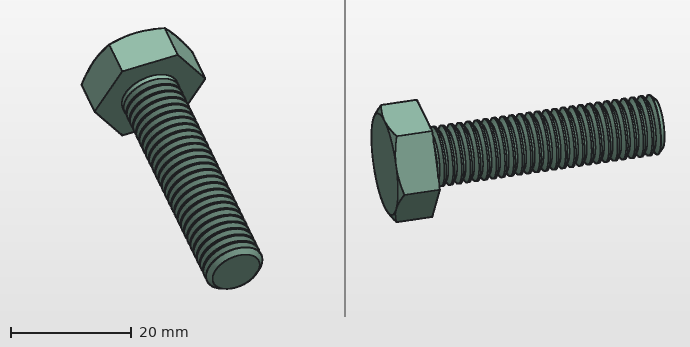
import cadquery as cq
import math

across_flats = 17.0
hexagon_sides = 6
head_height = 6.85
head_chamfer_angle = 30.0
thread_diameter = 10.0
shank_length = 40.0
groove_pitches = 27
groove_depth = 0.83
groove_width = 1.16

hexagon_half_angle = 180 / hexagon_sides
across_corners = across_flats / math.cos(math.radians(hexagon_half_angle))
thread_radius = thread_diameter / 2
pitch = shank_length / groove_pitches
root_radius = thread_radius - groove_depth
tip_chamfer = groove_depth


def make_head():
    """Hexagonal head with corners on +Y and -Y, its outer corners trimmed by a cone."""
    hexagon = cq.Workplane("YZ").polygon(hexagon_sides, across_corners).extrude(-head_height)

    flat_radius = across_flats / 2
    corner_radius = across_corners / 2
    chamfer_length = (corner_radius - flat_radius) * math.tan(math.radians(head_chamfer_angle))
    envelope = (
        cq.Workplane("XY")
        .moveTo(-head_height, 0)
        .lineTo(-head_height, flat_radius)
        .lineTo(-head_height + chamfer_length, corner_radius)
        .lineTo(0, corner_radius)
        .lineTo(0, 0)
        .close()
        .revolve(360, (0, 0, 0), (1, 0, 0))
    )
    return hexagon.intersect(envelope)


def make_shank():
    """Threaded shank, with the thread as separate V-shaped ring grooves and a chamfered tip."""
    profile = cq.Workplane("XY").moveTo(0, 0).lineTo(0, thread_radius)
    for index in range(1, groove_pitches):
        root_x = index * pitch
        profile = (
            profile.lineTo(root_x - groove_width / 2, thread_radius)
            .lineTo(root_x, root_radius)
            .lineTo(root_x + groove_width / 2, thread_radius)
        )
    profile = (
        profile.lineTo(shank_length - tip_chamfer, thread_radius)
        .lineTo(shank_length, root_radius)
        .lineTo(shank_length, 0)
        .close()
    )
    return profile.revolve(360, (0, 0, 0), (1, 0, 0))


result = make_head().union(make_shank())